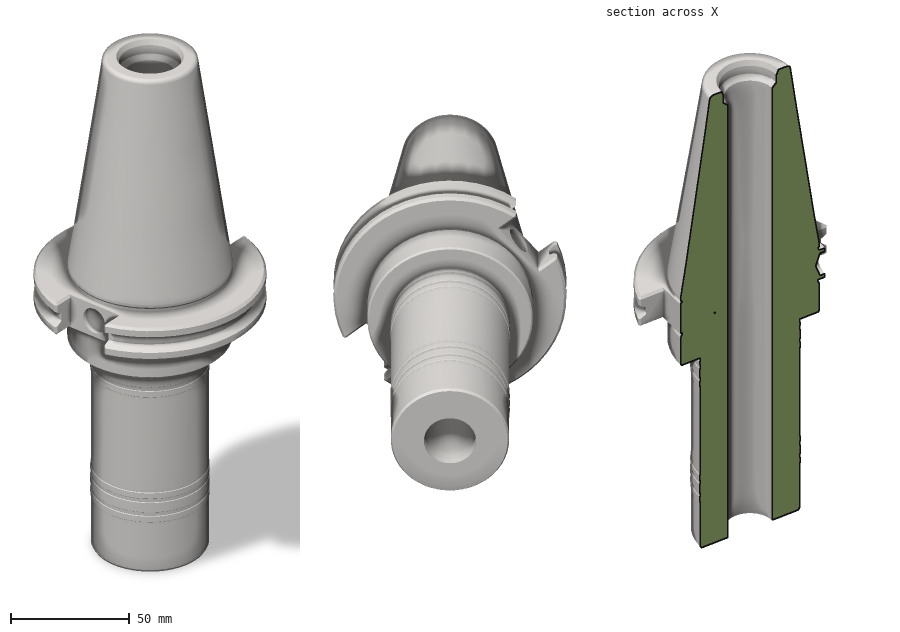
import cadquery as cq
import math

total_length = 239.0

taper_length = 101.5
taper_large_diameter = 69.8
taper_ratio = 7 / 24
tip_fillet = 2.2
gauge_z = total_length - taper_length
taper_small_diameter = taper_large_diameter - taper_ratio * taper_length

flange_diameter = 98.2
flange_thickness = 15.8
flange_top_gap = 3.0
v_groove_depth = 3.5
v_groove_floor_width = 3.5
v_groove_flank_angle = 30.0
flange_top_z = gauge_z - flange_top_gap
flange_bottom_z = flange_top_z - flange_thickness
flange_mid_z = (flange_top_z + flange_bottom_z) / 2

gauge_land_length = 1.2
relief_depth = 0.7
lower_relief_length = 2.2
relief_cone_length = 1.5

collar_bottom_z = 101.3
collar_chamfer = 0.7

shank_diameter = 50.0
shank_chamfer_height = 1.2
shank_chamfer_width = 0.7
band_diameter = 50.5
band_bevel = 0.22
wide_band = 5.0
narrow_band = 3.0
end_band = 1.7
band_gap = 1.7
top_band_gap = 2.2
upper_wide_band_z = 93.5
lower_wide_band_z = 32.0

slot_width = 25.3
front_slot_floor = 37.5
rear_slot_floor = taper_large_diameter / 2
slot_chamfer = 1.08

dimple_diameter = 11.7
dimple_wall_depth = 2.5
dimple_point_angle = 140.0

bore_diameter = 22.0
counterbore_diameter = 26.3
mouth_diameter = 28.5
mouth_depth = 2.5
counterbore_depth = 6.5
seat_height = 2.2


def cylinder(diameter, bottom_z, top_z):
    return cq.Workplane("XY").workplane(offset=bottom_z).circle(diameter / 2).extrude(top_z - bottom_z)


def revolve_half_profile(points):
    """Revolve a closed outline of (radius, z) points about Z."""
    return cq.Workplane("XZ").polyline(points).close().revolve(360, (0, 0, 0), (0, 1, 0))


def make_taper_and_collar():
    large_radius = taper_large_diameter / 2
    relief_radius = large_radius - relief_depth
    land_bottom_z = gauge_z - gauge_land_length
    collar_top_z = flange_bottom_z - lower_relief_length
    body = revolve_half_profile([
        (0, collar_bottom_z),
        (large_radius - collar_chamfer, collar_bottom_z),
        (large_radius, collar_bottom_z + collar_chamfer),
        (large_radius, collar_top_z),
        (relief_radius, collar_top_z + relief_cone_length),
        (relief_radius, flange_bottom_z),
        (large_radius, flange_top_z),
        (relief_radius, (flange_top_z + land_bottom_z) / 2),
        (large_radius, land_bottom_z),
        (large_radius, gauge_z),
        (taper_small_diameter / 2, total_length),
        (0, total_length),
    ])
    return body.faces(">Z").edges().fillet(tip_fillet)


def make_flange():
    flange = cylinder(flange_diameter, flange_bottom_z, flange_top_z)
    for side, floor_distance in ((-1, front_slot_floor), (1, rear_slot_floor)):
        slot_depth = flange_diameter - floor_distance
        slot = cq.Workplane("XY").box(slot_width, slot_depth, 2 * flange_thickness)
        flange = flange.cut(slot.translate((0, side * (floor_distance + slot_depth / 2), flange_mid_z)))

    beyond = flange_diameter
    half_width = slot_width / 2 + 0.02
    floor_edges = cq.selectors.BoxSelector(
        (-half_width + 0.2, -beyond, 0), (half_width - 0.2, beyond, total_length))
    inner_corners = cq.selectors.BoxSelector(
        (-half_width, -front_slot_floor - 0.2, flange_mid_z - 2.5),
        (half_width, front_slot_floor + 0.2, flange_mid_z + 2.5))
    flange = flange.edges(cq.selectors.SubtractSelector(
        cq.selectors.InverseSelector(floor_edges), inner_corners)).chamfer(slot_chamfer)

    floor_radius = flange_diameter / 2 - v_groove_depth
    floor_half = v_groove_floor_width / 2
    opening_half = floor_half + v_groove_depth * math.tan(math.radians(v_groove_flank_angle))
    v_groove = revolve_half_profile([
        (floor_radius, flange_mid_z - floor_half),
        (flange_diameter / 2, flange_mid_z - opening_half),
        (flange_diameter / 2, flange_mid_z + opening_half),
        (floor_radius, flange_mid_z + floor_half),
    ])
    return flange.cut(v_groove)


def make_band(bottom_z, height):
    """A raised band with bevelled edges."""
    return cylinder(band_diameter, bottom_z, bottom_z + height).edges().chamfer(band_bevel)


def make_shank():
    radius = shank_diameter / 2
    shank = revolve_half_profile([
        (0, 0),
        (radius - shank_chamfer_width, 0),
        (radius, shank_chamfer_height),
        (radius, collar_bottom_z),
        (0, collar_bottom_z),
    ])
    for center_z, top_gap, top_band in (
        (upper_wide_band_z, top_band_gap, end_band),
        (lower_wide_band_z, band_gap, narrow_band),
    ):
        wide_top = center_z + wide_band / 2
        wide_bottom = center_z - wide_band / 2
        shank = shank.union(make_band(wide_bottom, wide_band))
        shank = shank.union(make_band(wide_top + top_gap, top_band))
        shank = shank.union(make_band(wide_bottom - band_gap - narrow_band, narrow_band))
    return shank


def make_bore():
    mouth_bottom_z = total_length - mouth_depth
    counterbore_bottom_z = total_length - counterbore_depth
    return revolve_half_profile([
        (0, 0),
        (bore_diameter / 2, 0),
        (bore_diameter / 2, counterbore_bottom_z - seat_height),
        (counterbore_diameter / 2, counterbore_bottom_z),
        (counterbore_diameter / 2, mouth_bottom_z),
        (mouth_diameter / 2, total_length),
        (0, total_length),
    ])


def make_dimple():
    radius = dimple_diameter / 2
    point_depth = radius / math.tan(math.radians(dimple_point_angle / 2))
    dimple = revolve_half_profile([
        (0, 0),
        (radius, 0),
        (radius, dimple_wall_depth),
        (0, dimple_wall_depth + point_depth),
    ])
    return dimple.rotate((0, 0, 0), (1, 0, 0), -90).translate((0, -front_slot_floor, flange_mid_z))


result = make_taper_and_collar().union(make_flange()).union(make_shank())
result = result.cut(make_bore()).cut(make_dimple())